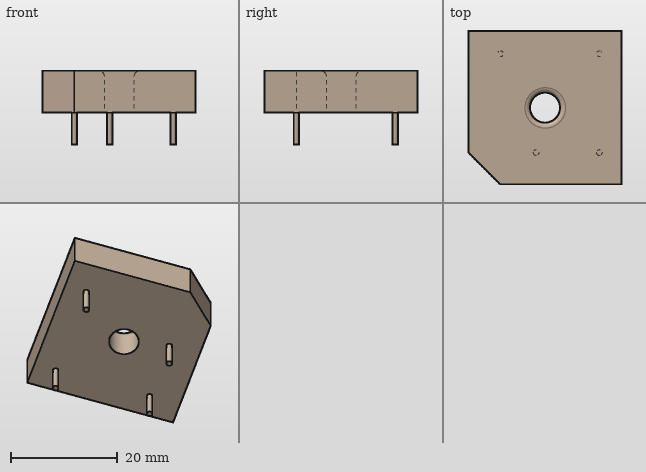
import cadquery as cq

body_side = 28.8
total_height = 13.88
pin_length = 6.0
body_height = total_height - pin_length
corner_cut = 6.0

hole_diameter = 5.6
rim_radius = 1.0

pin_diameter = 1.07
pin_near = -8.38
pin_far = 10.17
shifted_pin_x = -1.73
pin_positions = [
    (shifted_pin_x, pin_near),
    (pin_far, pin_near),
    (pin_near, pin_far),
    (pin_far, pin_far),
]


def make_body():
    """Block resting on Z = 0, with the -X -Y corner cut off."""
    block = cq.Workplane("XY").rect(body_side, body_side).extrude(body_height)
    return block.edges("|Z and <X and <Y").chamfer(corner_cut)


def add_mounting_hole(body):
    """Drill through the centre and round the top rim."""
    drilled = body.faces(">Z").workplane(origin=(0, 0, 0)).hole(hole_diameter)
    return drilled.faces(">Z").edges("%CIRCLE").fillet(rim_radius)


def make_pins():
    """Round pins hanging from the underside of the body."""
    return (
        cq.Workplane("XY")
        .pushPoints(pin_positions)
        .circle(pin_diameter / 2)
        .extrude(-pin_length)
    )


result = add_mounting_hole(make_body()).union(make_pins())